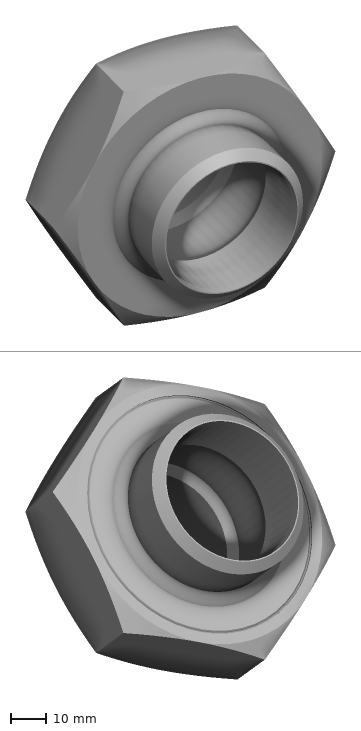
import cadquery as cq
import math

corner_width = 89.9
nut_width = 24.0
flat_width = 77.95
hex_sides = 6
nut_chamfer_angle = 30.0

left_length = 20.3
right_length = 19.7
pipe_diameter = 48.3
pipe_radius = pipe_diameter / 2
bore_radius = 20.95
end_radius = 21.3
end_chamfer_length = 2.8

recess_length = nut_width
recess_depth = 2.5

shoulder_length = 2.5
shoulder_radius = 27.7

groove_outer_radius = 35.8
groove_floor_radius = 35.3
groove_inner_radius = 34.9
groove_depth = 0.45

AXIS_START = (0, 0, 0)
AXIS_END = (1, 0, 0)


def revolve_about_x(points):
    """Revolve a closed (x, radius) outline about the X axis."""
    profile = cq.Workplane("XY").polyline(points).close()
    return profile.revolve(360, AXIS_START, AXIS_END)


def hex_nut():
    """Hexagon with flats at +Z and -Z, its corners turned down and coned off at both faces."""
    half_width = nut_width / 2
    flat_radius = flat_width / 2
    corner_radius = corner_width / 2
    corner_drop = (corner_radius - flat_radius) * math.tan(math.radians(nut_chamfer_angle))
    hexagon = (
        cq.Workplane("YZ")
        .polygon(hex_sides, flat_width / math.cos(math.pi / hex_sides))
        .extrude(half_width, both=True)
    )
    turned_blank = revolve_about_x([
        (-half_width, 0),
        (-half_width, flat_radius),
        (-half_width + corner_drop, corner_radius),
        (half_width - corner_drop, corner_radius),
        (half_width, flat_radius),
        (half_width, 0),
    ])
    return hexagon.intersect(turned_blank)


def pipe_end(side, length):
    """Chamfered pipe end with its shoulder; side is -1 or +1 along X."""
    face = nut_width / 2
    tip = face + length
    outline = [
        (0, 0),
        (0, shoulder_radius),
        (face, shoulder_radius),
        (face + shoulder_length, pipe_radius),
        (tip - end_chamfer_length, pipe_radius),
        (tip, end_radius),
        (tip, 0),
    ]
    return revolve_about_x([(side * x, radius) for x, radius in outline])


def ring_groove():
    """Groove with a straight outer wall, a flat floor and a sloping inner wall."""
    face = -nut_width / 2
    floor = face + groove_depth
    return revolve_about_x([
        (face, groove_inner_radius),
        (floor, groove_floor_radius),
        (floor, groove_outer_radius),
        (face, groove_outer_radius),
    ])


def bore():
    """Straight passage through the whole fitting."""
    return (
        cq.Workplane("YZ")
        .workplane(offset=-nut_width / 2 - left_length)
        .circle(bore_radius)
        .extrude(left_length + nut_width + right_length)
    )


def bore_recess():
    """Wider middle stretch of the bore, opening and closing with 45 degree cones."""
    half_length = recess_length / 2
    recess_radius = bore_radius + recess_depth
    return revolve_about_x([
        (-half_length, 0),
        (-half_length, bore_radius),
        (-half_length + recess_depth, recess_radius),
        (half_length - recess_depth, recess_radius),
        (half_length, bore_radius),
        (half_length, 0),
    ])


body = hex_nut().union(pipe_end(-1, left_length)).union(pipe_end(1, right_length))
result = body.cut(ring_groove()).cut(bore()).cut(bore_recess())